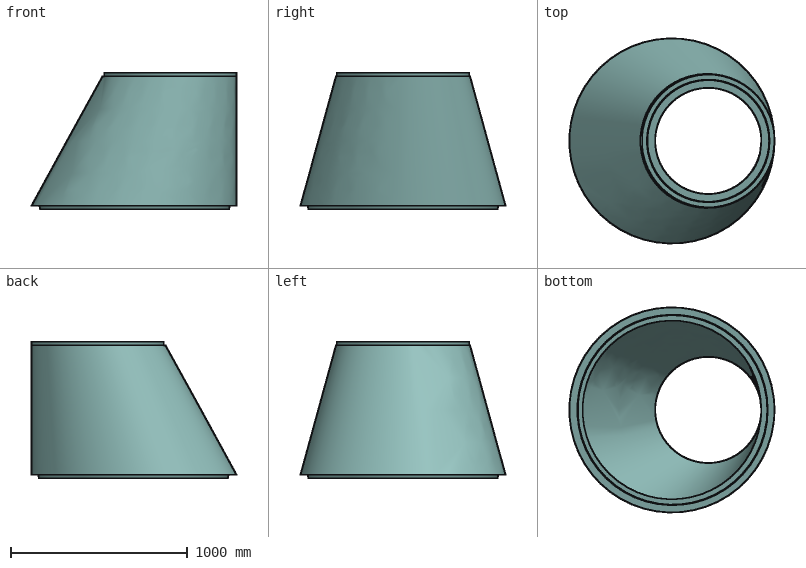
import cadquery as cq

base_diameter = 1160.0
top_diameter = 750.0
height = 773.0
spigot_height = 20.0
collar_height = 22.0
cone_top_diameter = 759.0

spigot_diameter = 1077.0
spigot_tip_diameter = 1070.0
spigot_offset = 3.0
socket_diameter = 694.0
socket_floor_diameter = 687.0
socket_depth = 22.0

wall_thickness = 75.0
bore_top_diameter = top_diameter - 2 * wall_thickness
bore_base_diameter = base_diameter - 2 * wall_thickness

flush_x = base_diameter / 2
top_x = flush_x - top_diameter / 2
cone_base_z = spigot_height
cone_top_z = height - collar_height
socket_floor_z = height - socket_depth


def eccentric_cone(lower_diameter, lower_x, lower_z, upper_diameter, upper_x, upper_z):
    """Ruled loft between two horizontal circles with offset centers."""
    return (
        cq.Workplane("XY", origin=(lower_x, 0, lower_z))
        .circle(lower_diameter / 2)
        .workplane(offset=upper_z - lower_z)
        .center(upper_x - lower_x, 0)
        .circle(upper_diameter / 2)
        .loft(ruled=True)
    )


cone_top_x = flush_x - cone_top_diameter / 2
body = eccentric_cone(base_diameter, 0, cone_base_z, cone_top_diameter, cone_top_x, cone_top_z)
spigot = eccentric_cone(spigot_tip_diameter, spigot_offset, 0, spigot_diameter, spigot_offset, spigot_height)
collar = eccentric_cone(top_diameter, top_x, cone_top_z, top_diameter, top_x, height)

bore = eccentric_cone(bore_base_diameter, 0, 0, bore_top_diameter, top_x, socket_floor_z)
socket = eccentric_cone(socket_floor_diameter, top_x, socket_floor_z, socket_diameter, top_x, height)

result = body.union(spigot).union(collar).cut(bore).cut(socket)